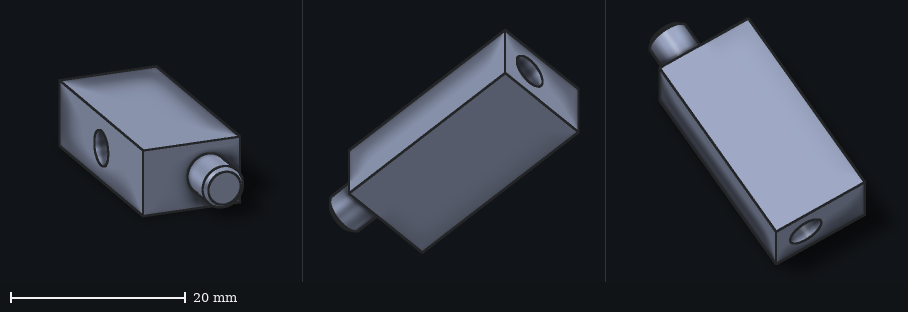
import cadquery as cq

total_length = 30.0
body_width = 12.0
body_height = 8.0

spigot_diameter = 5.0
spigot_length = 5.0
tip_chamfer = 0.5

port_diameter = 4.2
end_port_depth = 10.0
side_port_depth = 6.0

body_length = total_length - spigot_length
mid_height = body_height / 2
axis_y = body_width - body_height / 2
side_port_x = body_length / 2


def make_body():
    return cq.Workplane("XY").box(body_length, body_width, body_height, centered=False)


def make_spigot():
    spigot = (
        cq.Workplane("YZ", origin=(body_length, axis_y, mid_height))
        .circle(spigot_diameter / 2)
        .extrude(spigot_length)
    )
    return spigot.faces(">X").edges().chamfer(tip_chamfer)


def make_end_port():
    """Blind hole from the -X face, in line with the spigot."""
    return (
        cq.Workplane("YZ", origin=(0, axis_y, mid_height))
        .circle(port_diameter / 2)
        .extrude(end_port_depth)
    )


def make_side_port():
    """Blind hole from the -Y face at the middle of the body."""
    return (
        cq.Workplane("XZ", origin=(side_port_x, 0, mid_height))
        .circle(port_diameter / 2)
        .extrude(-side_port_depth)
    )


result = make_body().union(make_spigot()).cut(make_end_port()).cut(make_side_port())